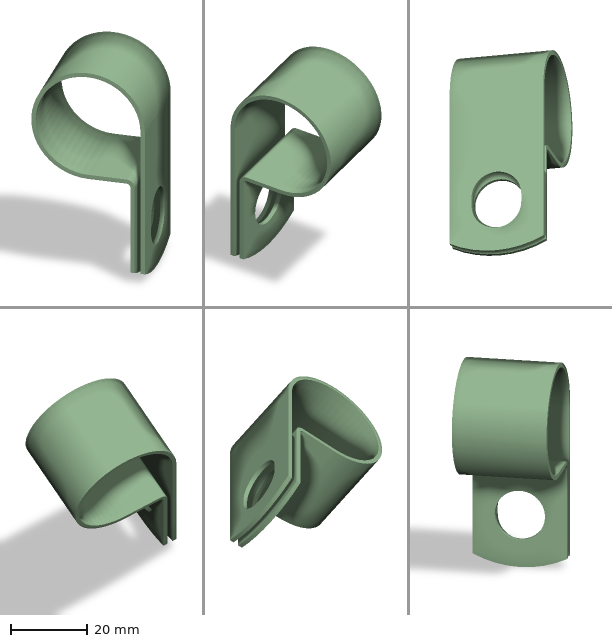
import cadquery as cq

height = 59.95
width = 25.4
loop_diameter = 31.0
strap = 1.2

leg_gap = 1.55
bend_radius = 2.3

hole_diameter = 13.5
slot_length = 15.7
hole_height = 14.25
end_rise = 3.0

outer_radius = loop_diameter / 2
inner_radius = outer_radius - strap
tip_z = outer_radius - height
short_leg_outer_x = inner_radius - leg_gap
short_leg_inner_x = short_leg_outer_x - strap
bend_center_x = short_leg_outer_x - bend_radius
bend_center_z = -inner_radius - bend_radius


def bent_strap():
    """Strap bent into a three-quarter loop with a long and a short leg."""
    diagonal = 0.5 ** 0.5
    bend_inner_radius = bend_radius - strap
    return (
        cq.Workplane("XZ")
        .moveTo(outer_radius, tip_z)
        .lineTo(outer_radius, 0)
        .threePointArc((-outer_radius * diagonal, outer_radius * diagonal), (0, -outer_radius))
        .lineTo(bend_center_x, -outer_radius)
        .threePointArc(
            (bend_center_x + bend_inner_radius * diagonal, bend_center_z + bend_inner_radius * diagonal),
            (short_leg_inner_x, bend_center_z),
        )
        .lineTo(short_leg_inner_x, tip_z)
        .lineTo(short_leg_outer_x, tip_z)
        .lineTo(short_leg_outer_x, bend_center_z)
        .threePointArc(
            (bend_center_x + bend_radius * diagonal, bend_center_z + bend_radius * diagonal),
            (bend_center_x, -inner_radius),
        )
        .lineTo(0, -inner_radius)
        .threePointArc((-inner_radius * diagonal, inner_radius * diagonal), (inner_radius, 0))
        .lineTo(inner_radius, tip_z)
        .close()
        .extrude(width / 2, both=True)
    )


def side_outline():
    """Block with an arched lower end, used to round both leg tips."""
    half_width = width / 2
    corner_z = tip_z + end_rise
    return (
        cq.Workplane("YZ")
        .moveTo(-half_width, outer_radius)
        .lineTo(-half_width, corner_z)
        .threePointArc((0, tip_z), (half_width, corner_z))
        .lineTo(half_width, outer_radius)
        .close()
        .extrude(outer_radius, both=True)
    )


def bolt_hole():
    """Round hole through the short leg."""
    return (
        cq.Workplane("YZ", origin=(short_leg_inner_x, 0, tip_z + hole_height))
        .circle(hole_diameter / 2)
        .extrude(strap)
    )


def bolt_slot():
    """Upright slot through the long leg, centred on the bolt hole."""
    return (
        cq.Workplane("YZ", origin=(inner_radius, 0, tip_z + hole_height))
        .slot2D(slot_length, hole_diameter, 90)
        .extrude(strap)
    )


result = bent_strap().intersect(side_outline()).cut(bolt_hole()).cut(bolt_slot())